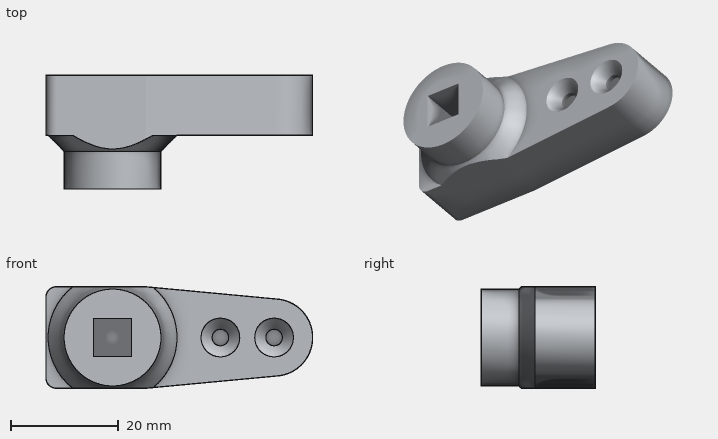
import cadquery as cq
import math

length = 49.65
height = 18.9
plate_thickness = 11.2
corner_radius = 2.0
taper_start_x = 18.55
taper_end_x = 42.75
tip_radius = 7.2
tip_center_x = length - tip_radius

hub_x = 12.4
hub_diameter = 18.0
hub_length = 7.0
flare_length = 3.0
flare_radius = hub_diameter / 2 + flare_length
total_depth = plate_thickness + flare_length + hub_length

socket_side = 7.05
socket_depth = 15.0

hole_diameter = 3.1
countersink_diameter = 7.2
countersink_depth = (countersink_diameter - hole_diameter) / 2
hole_floor_step = 1.0
hole_depth = countersink_depth + hole_floor_step
hole_spacing = 10.0
hole_positions = [tip_center_x - hole_spacing, tip_center_x]

plate_front_y = -plate_thickness
hub_front_y = -total_depth


def arm_prism(depth):
    """Extrude the arm outline from the back plane towards -Y."""
    half_height = height / 2
    taper_end_z = math.sqrt(tip_radius**2 - (taper_end_x - tip_center_x) ** 2)
    outline = (
        cq.Workplane("XZ")
        .moveTo(0, -half_height)
        .lineTo(taper_start_x, -half_height)
        .lineTo(taper_end_x, -taper_end_z)
        .threePointArc((length, 0), (taper_end_x, taper_end_z))
        .lineTo(taper_start_x, half_height)
        .lineTo(0, half_height)
        .close()
    )
    return outline.extrude(depth).edges("|Y and <X").fillet(corner_radius)


def cone(x, y, base_radius, end_radius, depth, y_direction):
    """Make a truncated cone along Y, starting at (x, y, 0)."""
    return cq.Workplane(
        cq.Solid.makeCone(base_radius, end_radius, depth, cq.Vector(x, y, 0), cq.Vector(0, y_direction, 0))
    )


def cylinder(x, y, radius, depth, y_direction):
    """Make a cylinder along Y, starting at (x, y, 0)."""
    return cq.Workplane(
        cq.Solid.makeCylinder(radius, depth, cq.Vector(x, y, 0), cq.Vector(0, y_direction, 0))
    )


def hub():
    """Hub with its flare trimmed to the outline of the arm."""
    flare = cone(hub_x, plate_front_y, flare_radius, hub_diameter / 2, flare_length, -1)
    flare = flare.intersect(arm_prism(total_depth))
    boss = cylinder(hub_x, plate_front_y - flare_length, hub_diameter / 2, hub_length, -1)
    return flare.union(boss)


def socket():
    """Square pocket sunk into the end of the hub."""
    center_y = hub_front_y + socket_depth / 2
    return cq.Workplane("XY").box(socket_side, socket_depth, socket_side).translate((hub_x, center_y, 0))


def screw_hole(x):
    """Countersunk hole sunk into the front face of the plate."""
    sink = cone(x, plate_front_y, countersink_diameter / 2, hole_diameter / 2, countersink_depth, 1)
    return sink.union(cylinder(x, plate_front_y, hole_diameter / 2, hole_depth, 1))


result = arm_prism(plate_thickness).union(hub()).cut(socket())
for hole_x in hole_positions:
    result = result.cut(screw_hole(hole_x))